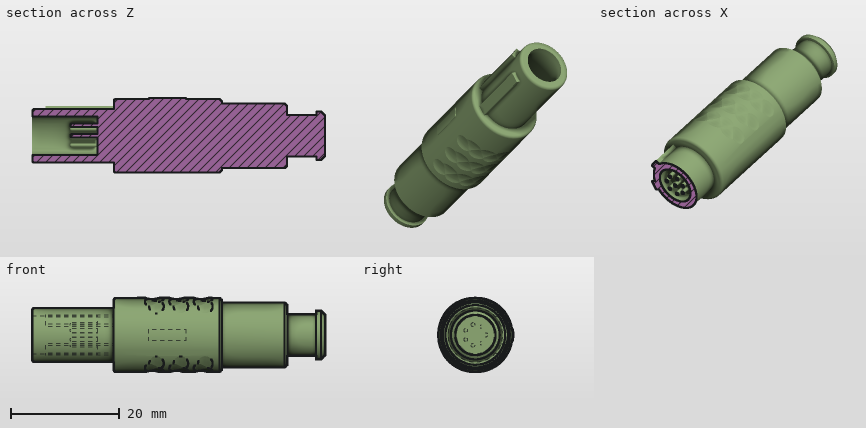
import cadquery as cq
import math


nose_start = 0.0
sleeve_start = 15.0
sleeve_end = 35.0
body_end = 47.0
collar_start = 52.3
plug_end = 54.0

nose_dia = 10.0
sleeve_dia = 13.7
body_dia = 12.0
neck_dia = 7.7
collar_dia = 9.0

edge_fillet = 0.5
edge_chamfer = 0.5
collar_chamfer = 0.8

socket_dia = 7.0
socket_depth = 12.0
pin_dia = 0.7
pin_length = 5.0
pin_circle_radius = 1.95
ring_pin_count = 7

key_start = 2.5
key_width = 2.0
key_outer_distance = 5.7
key_angles = (-30.0, 30.0)

dimple_radius = 4.0
dimple_depth = 0.235
dimple_angle_step = 13.2
dimple_first_x = 22.1
dimple_column_shift = 0.8
dimple_group_pitch = 4.5
dimple_group_count = 3
front_column_steps = (-2, 0, 2)
rear_column_steps = (-3, -1, 1, 3)

marker_length = 6.9
marker_width = 2.0
marker_height = 0.15
marker_center_x = 24.9


def x_cylinder(start, end, diameter):
    """Cylinder on the plug axis between two stations."""
    return cq.Workplane("YZ").workplane(offset=start).circle(diameter / 2).extrude(end - start)


def make_body():
    nose = x_cylinder(nose_start, sleeve_start, nose_dia).faces("<X").edges().fillet(edge_fillet)
    sleeve = x_cylinder(sleeve_start, sleeve_end, sleeve_dia).faces(">X").chamfer(edge_chamfer)
    sleeve = sleeve.faces("<X").edges().fillet(edge_fillet)
    rear = x_cylinder(sleeve_end, body_end, body_dia).faces(">X").chamfer(edge_chamfer)
    neck = x_cylinder(body_end, collar_start, neck_dia)
    collar = x_cylinder(collar_start, plug_end, collar_dia).faces(">X").chamfer(collar_chamfer)
    return nose.union(sleeve).union(rear).union(neck).union(collar)


def make_keys():
    """Flat-topped bars on the +Y side, spread about the Y axis."""
    length = sleeve_start - key_start
    root_distance = (nose_dia + socket_dia) / 4
    bar = cq.Workplane("XY").box(
        length, key_outer_distance - root_distance, key_width, centered=(False, False, True)
    ).translate((key_start, root_distance, 0))
    keys = cq.Workplane("XY")
    for angle in key_angles:
        keys = keys.add(bar.rotate((0, 0, 0), (1, 0, 0), angle))
    return keys.combine()


def make_pins():
    """One centre pin and a ring of pins, the first of them on the +Y side."""
    places = [(0, 0)]
    for index in range(ring_pin_count):
        angle = 2 * math.pi * index / ring_pin_count
        places.append((pin_circle_radius * math.cos(angle), pin_circle_radius * math.sin(angle)))
    tip_radius = pin_dia / 2
    floor_x = nose_start + socket_depth
    tip_center_x = floor_x - pin_length + tip_radius
    pins = cq.Workplane("YZ").workplane(offset=tip_center_x).pushPoints(places)
    shanks = pins.circle(tip_radius).extrude(floor_x - tip_center_x)
    tips = pins.sphere(tip_radius)
    return shanks.union(tips)


def make_marker():
    """Thin pad that follows the curve of the sleeve."""
    pad_dia = sleeve_dia + 2 * marker_height
    pad_start = marker_center_x - marker_length / 2
    pad_end = marker_center_x + marker_length / 2
    window = cq.Workplane("XY").box(marker_length, pad_dia / 2, marker_width, centered=(True, False, True))
    return x_cylinder(pad_start, pad_end, pad_dia).intersect(window.translate((marker_center_x, 0, 0)))


def make_dimple(x, angle):
    """Scoop cutter at station x, turned about the plug axis from the top (+Z)."""
    axis_height = sleeve_dia / 2 - dimple_depth + dimple_radius
    cutter = cq.Workplane("XZ", origin=(x, 0, axis_height)).circle(dimple_radius)
    return cutter.extrude(sleeve_dia / 4, both=True).rotate((0, 0, 0), (1, 0, 0), angle)


def cut_dimples(part):
    """Groups of two staggered columns on the top and the bottom of the sleeve."""
    columns = ((0.0, front_column_steps), (dimple_column_shift, rear_column_steps))
    for side_angle in (0, 180):
        for group in range(dimple_group_count):
            group_x = dimple_first_x + group * dimple_group_pitch
            for shift, steps in columns:
                for step in steps:
                    angle = side_angle + step * dimple_angle_step
                    part = part.cut(make_dimple(group_x + shift, angle))
    return part


plug = make_body().union(make_keys())
plug = plug.cut(x_cylinder(nose_start, nose_start + socket_depth, socket_dia))
plug = plug.union(make_pins())
plug = cut_dimples(plug)
result = plug.union(make_marker())